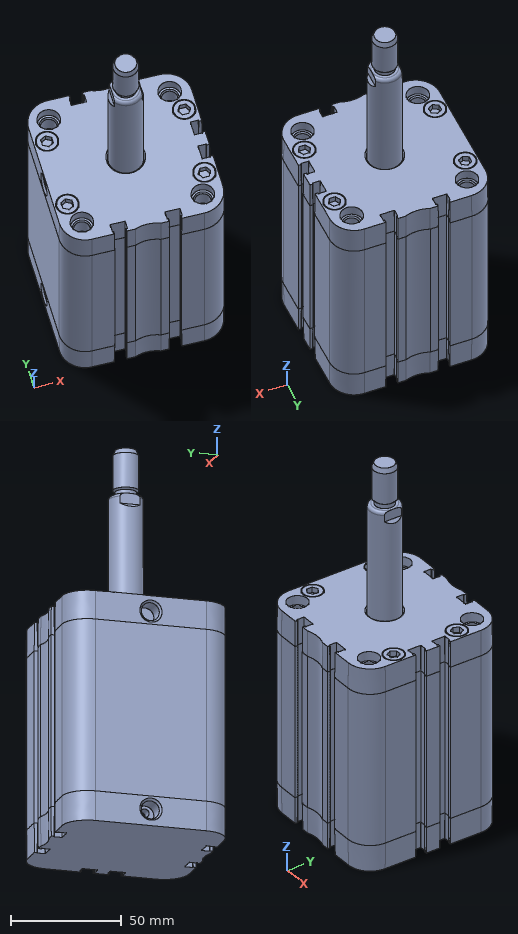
import cadquery as cq
TOTAL_LENGTH = 189.0
BODY_WIDTH = 77.0
BODY_LENGTH = 109.0
CORNER_RADIUS = 12.1

FRONT_CAP_LENGTH = 13.6
REAR_CAP_LENGTH = 14.0
BARREL_TOP = BODY_LENGTH - FRONT_CAP_LENGTH
BARREL_LENGTH = BARREL_TOP - REAR_CAP_LENGTH
CAP_DRAFT_ANGLE = 0.5

SLOT_OPENING = 5.7
SLOT_INNER_WIDTH = 6.8
SLOT_LIP = 1.7
SLOT_DEPTH = 5.3
SIDE_SLOT_OFFSET = 12.9
END_SLOT_OFFSET = 6.6

GROOVE_WIDTH = 12.0
GROOVE_DEPTH = 1.1
GROOVE_RADIUS = ((GROOVE_WIDTH / 2) ** 2 + GROOVE_DEPTH**2) / (2 * GROOVE_DEPTH)

MOUNT_OFFSET = 28.4
MOUNT_BORE_DIAMETER = 10.5
MOUNT_BORE_DEPTH = 5.0
MOUNT_HOLE_DIAMETER = 7.4
MOUNT_CONE_DIAMETER = 8.5
MOUNT_CONE_DEPTH = 0.8

SCREW_X = 32.1
SCREW_Y = 17.4
SCREW_CLEARANCE_DIAMETER = 10.5
SCREW_HEAD_DIAMETER = 9.8
SCREW_RING_DEPTH = 1.9
SCREW_SOCKET_WIDTH = 5.1
SCREW_SOCKET_DEPTH = 2.8
LEFT_SOCKET_TURN = 0
RIGHT_SOCKET_TURN = 30

PORT_MOUTH_DIAMETER = 10.5
PORT_DIAMETER = 8.5
PORT_CHAMFER = (PORT_MOUTH_DIAMETER - PORT_DIAMETER) / 2
PORT_DEPTH = 9.5
FRONT_PORT_HEIGHT = BODY_LENGTH - 7.4
REAR_PORT_HEIGHT = 7.7
PASSAGE_DIAMETER = 4.0
PASSAGE_RISE = 1.0
PASSAGE_DEPTH = 5.7

ROD_DIAMETER = 16.0
THREAD_DIAMETER = 12.0
THREAD_LENGTH = 18.9
THREAD_TIP_DIAMETER = 10.0
THREAD_TIP_LENGTH = 2.5
NECK_DIAMETER = 9.8
NECK_TAPER_LENGTH = 0.8
SHOULDER_HEIGHT = TOTAL_LENGTH - 22.0
SHOULDER_FILLET = 1.7
FLAT_WIDTH = 13.0
FLAT_LENGTH = 5.1

ROD_MOUTH_DIAMETER = 18.0
ROD_CLEARANCE_DIAMETER = 16.6
ROD_CLEARANCE_DEPTH = 1.9


def turned(shape, angle):
    """Copy of a shape turned about the Z axis."""
    return shape.rotate((0, 0, 0), (0, 0, 1), angle)


def barrel_base():
    """Workplane at the lower end of the barrel."""
    return cq.Workplane("XY", origin=(0, 0, REAR_CAP_LENGTH))


def t_slot(offset):
    """T-shaped bar for a slot that opens at the -Y side, with its middle at X = offset."""
    side = -BODY_WIDTH / 2
    lip = side + SLOT_LIP
    floor = side + SLOT_DEPTH
    return (
        barrel_base()
        .moveTo(offset - SLOT_OPENING / 2, side)
        .lineTo(offset - SLOT_OPENING / 2, lip)
        .lineTo(offset - SLOT_INNER_WIDTH / 2, lip)
        .lineTo(offset - SLOT_INNER_WIDTH / 2, floor)
        .lineTo(offset + SLOT_INNER_WIDTH / 2, floor)
        .lineTo(offset + SLOT_INNER_WIDTH / 2, lip)
        .lineTo(offset + SLOT_OPENING / 2, lip)
        .lineTo(offset + SLOT_OPENING / 2, side)
        .close()
        .extrude(BARREL_LENGTH)
    )


def round_groove():
    """Cylinder that cuts the shallow groove in the -Y side."""
    centre_distance = BODY_WIDTH / 2 - GROOVE_DEPTH + GROOVE_RADIUS
    return barrel_base().center(0, -centre_distance).circle(GROOVE_RADIUS).extrude(BARREL_LENGTH)


def make_barrel():
    """Rounded square bar with T-slots on three sides and a groove on two of them."""
    bar = barrel_base().rect(BODY_WIDTH, BODY_WIDTH).extrude(BARREL_LENGTH)
    bar = bar.edges("|Z").fillet(CORNER_RADIUS)
    for angle in (0, 180):
        bar = bar.cut(turned(round_groove(), angle))
        for offset in (-SIDE_SLOT_OFFSET, SIDE_SLOT_OFFSET):
            bar = bar.cut(turned(t_slot(offset), angle))
    for offset in (-END_SLOT_OFFSET, END_SLOT_OFFSET):
        bar = bar.cut(turned(t_slot(offset), 90))
    return bar


def disc(diameter, start, depth):
    """Cylinder on the Z axis that reaches down from the height `start`."""
    return cq.Workplane("XY", origin=(0, 0, start)).circle(diameter / 2).extrude(-depth)


def cone(top_diameter, bottom_diameter, start, depth):
    """Cone on the Z axis that narrows downward from the height `start`."""
    return cq.Workplane("XY").add(
        cq.Solid.makeCone(
            top_diameter / 2, bottom_diameter / 2, depth, cq.Vector(0, 0, start), cq.Vector(0, 0, -1)
        )
    )


def air_port(height):
    """Blind hole from the -X side with a chamfered mouth."""
    start = cq.Vector(-BODY_WIDTH / 2, 0, height)
    inward = cq.Vector(1, 0, 0)
    bore = cq.Solid.makeCylinder(PORT_DIAMETER / 2, PORT_DEPTH, start, inward)
    mouth = cq.Solid.makeCone(PORT_MOUTH_DIAMETER / 2, PORT_DIAMETER / 2, PORT_CHAMFER, start, inward)
    return cq.Workplane("XY").add(bore).union(cq.Workplane("XY").add(mouth))


def mounting_hole():
    """Counterbored hole, with a small cone below the counterbore, through the front cap."""
    floor = BODY_LENGTH - MOUNT_BORE_DEPTH
    hole = disc(MOUNT_HOLE_DIAMETER, BODY_LENGTH, FRONT_CAP_LENGTH)
    hole = hole.union(disc(MOUNT_BORE_DIAMETER, BODY_LENGTH, MOUNT_BORE_DEPTH))
    return hole.union(cone(MOUNT_CONE_DIAMETER, MOUNT_HOLE_DIAMETER, floor, MOUNT_CONE_DEPTH))


def screw_recess(socket_turn):
    """Ring-shaped clearance around a screw head, and the hexagon socket in the head."""
    ring = disc(SCREW_CLEARANCE_DIAMETER, BODY_LENGTH, SCREW_RING_DEPTH).cut(
        disc(SCREW_HEAD_DIAMETER, BODY_LENGTH, SCREW_RING_DEPTH)
    )
    socket = (
        cq.Workplane("XY", origin=(0, 0, BODY_LENGTH))
        .polygon(6, SCREW_SOCKET_WIDTH, circumscribed=True)
        .extrude(-SCREW_SOCKET_DEPTH)
    )
    return ring.union(turned(socket, socket_turn))


def cap_blank(barrel_end, length):
    """Solid that grows from one end face of the barrel with drafted sides."""
    return (
        make_barrel()
        .faces(barrel_end)
        .wires()
        .toPending()
        .workplane()
        .extrude(length, combine=False, taper=CAP_DRAFT_ANGLE)
    )


def make_front_cap():
    """Cap with the rod hole, the mounting holes, the screws and one air port."""
    cap = cap_blank(">Z", FRONT_CAP_LENGTH)
    cap = cap.cut(disc(ROD_DIAMETER, BODY_LENGTH, FRONT_CAP_LENGTH))
    cap = cap.cut(disc(ROD_CLEARANCE_DIAMETER, BODY_LENGTH, ROD_CLEARANCE_DEPTH))
    mouth_depth = (ROD_MOUTH_DIAMETER - ROD_CLEARANCE_DIAMETER) / 2
    cap = cap.cut(cone(ROD_MOUTH_DIAMETER, ROD_CLEARANCE_DIAMETER, BODY_LENGTH, mouth_depth))
    for side_x, socket_turn in ((-1, LEFT_SOCKET_TURN), (1, RIGHT_SOCKET_TURN)):
        for side_y in (-1, 1):
            hole_place = (side_x * MOUNT_OFFSET, side_y * MOUNT_OFFSET, 0)
            screw_place = (side_x * SCREW_X, side_y * SCREW_Y, 0)
            cap = cap.cut(mounting_hole().translate(hole_place))
            cap = cap.cut(screw_recess(socket_turn).translate(screw_place))
    return cap.cut(air_port(FRONT_PORT_HEIGHT))


def make_rear_cap():
    """Cap with an air port that leads into a narrower passage."""
    cap = cap_blank("<Z", REAR_CAP_LENGTH)
    cap = cap.cut(air_port(REAR_PORT_HEIGHT))
    passage = cq.Solid.makeCylinder(
        PASSAGE_DIAMETER / 2,
        PASSAGE_DEPTH,
        cq.Vector(PORT_DEPTH - BODY_WIDTH / 2, 0, REAR_PORT_HEIGHT + PASSAGE_RISE),
        cq.Vector(1, 0, 0),
    )
    return cap.cut(cq.Workplane("XY").add(passage))


def wrench_flat():
    """Cutter for the flat on the +X side of the rod end, with a sloped lower end."""
    flat = FLAT_WIDTH / 2
    run = ROD_DIAMETER / 2 - flat
    flat_bottom = SHOULDER_HEIGHT - FLAT_LENGTH
    return (
        cq.Workplane("XZ")
        .moveTo(flat, SHOULDER_HEIGHT)
        .lineTo(flat, flat_bottom)
        .lineTo(flat + run, flat_bottom - run)
        .lineTo(flat + run, SHOULDER_HEIGHT)
        .close()
        .extrude(ROD_DIAMETER / 2, both=True)
    )


def make_rod():
    """Rod that stands on the barrel, with wrench flats, an undercut neck and a thread end."""
    thread_bottom = TOTAL_LENGTH - THREAD_LENGTH
    shaft = (
        cq.Workplane("XY", origin=(0, 0, BARREL_TOP))
        .circle(ROD_DIAMETER / 2)
        .extrude(SHOULDER_HEIGHT - BARREL_TOP)
        .faces(">Z")
        .edges()
        .fillet(SHOULDER_FILLET)
    )
    for angle in (0, 180):
        shaft = shaft.cut(turned(wrench_flat(), angle))
    thread = (
        cq.Workplane("XZ")
        .moveTo(0, SHOULDER_HEIGHT)
        .lineTo(NECK_DIAMETER / 2, SHOULDER_HEIGHT)
        .lineTo(NECK_DIAMETER / 2, thread_bottom - NECK_TAPER_LENGTH)
        .lineTo(THREAD_DIAMETER / 2, thread_bottom)
        .lineTo(THREAD_DIAMETER / 2, TOTAL_LENGTH - THREAD_TIP_LENGTH)
        .lineTo(THREAD_TIP_DIAMETER / 2, TOTAL_LENGTH)
        .lineTo(0, TOTAL_LENGTH)
        .close()
        .revolve(360, (0, 0, 0), (0, 1, 0))
    )
    return shaft.union(thread)


front_cap = make_front_cap()
barrel = make_barrel()
rear_cap = make_rear_cap()
rod = make_rod()

result = cq.Compound.makeCompound([front_cap.val(), barrel.val(), rear_cap.val(), rod.val()])